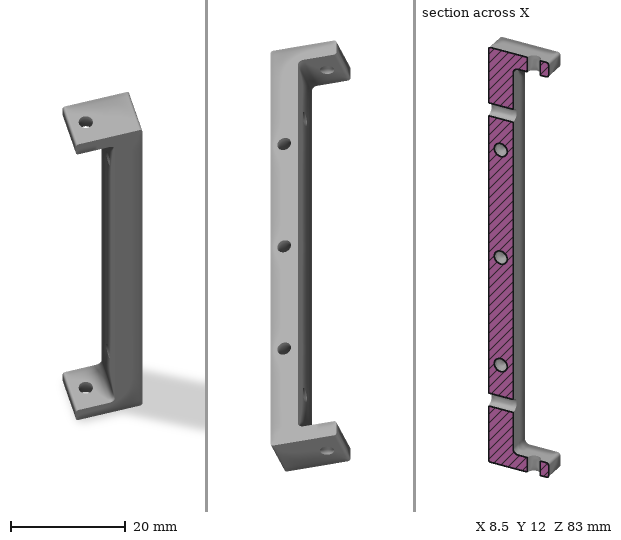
import cadquery as cq
import math

width = 8.5
depth = 12.0
height = 83.0

web_thickness = 5.0
flange_thickness = 3.0
inner_radius = 1.0
outer_radius = 0.5

hole_diameter = 2.5
web_hole_spacing = 58.0
flange_hole_setback = 3.0
side_hole_pitch = 21.5
side_hole_count = 3
side_hole_depth = 5.0
drill_point_angle = 118.0

front = -depth / 2
back = depth / 2
web_front = back - web_thickness
hole_radius = hole_diameter / 2


def bracket_body():
    """Web with a flange at each end, rounded along all edges parallel to X."""
    window_height = height - 2 * flange_thickness
    window_depth = depth - web_thickness
    window = cq.Workplane("XY").box(width, window_depth, window_height)
    window = window.translate((0, (front + web_front) / 2, 0))
    body = cq.Workplane("XY").box(width, depth, height).cut(window)

    inner_corners = cq.selectors.BoxSelector(
        (-width, web_front - outer_radius, -window_height / 2 - outer_radius),
        (width, web_front + outer_radius, window_height / 2 + outer_radius),
    )
    body = body.edges("|X").edges(inner_corners).fillet(inner_radius)

    back_corners = body.faces(">Y").edges("|X")
    body = back_corners.fillet(outer_radius)
    flange_tips = body.faces("<Y").edges("|X")
    return flange_tips.fillet(outer_radius)


def flange_hole():
    """One vertical bore through both flanges."""
    bore = cq.Workplane("XY").circle(hole_radius).extrude(height / 2, both=True)
    return bore.translate((0, front + flange_hole_setback, 0))


def web_holes():
    """Two through holes in the web, running along Y."""
    centres = [(0, -web_hole_spacing / 2), (0, web_hole_spacing / 2)]
    return cq.Workplane("XZ").pushPoints(centres).circle(hole_radius).extrude(depth, both=True)


def side_hole(z):
    """Blind drilled hole with a conical bottom, entering the -X side of the web."""
    point_length = hole_radius / math.tan(math.radians(drill_point_angle / 2))
    drill = (
        cq.Workplane("XY")
        .moveTo(0, 0)
        .lineTo(side_hole_depth + point_length, 0)
        .lineTo(side_hole_depth, hole_radius)
        .lineTo(0, hole_radius)
        .close()
        .revolve(360, (0, 0, 0), (1, 0, 0))
    )
    return drill.translate((-width / 2, back - web_thickness / 2, z))


result = bracket_body().cut(flange_hole()).cut(web_holes())
for index in range(side_hole_count):
    offset = index - (side_hole_count - 1) / 2
    result = result.cut(side_hole(offset * side_hole_pitch))